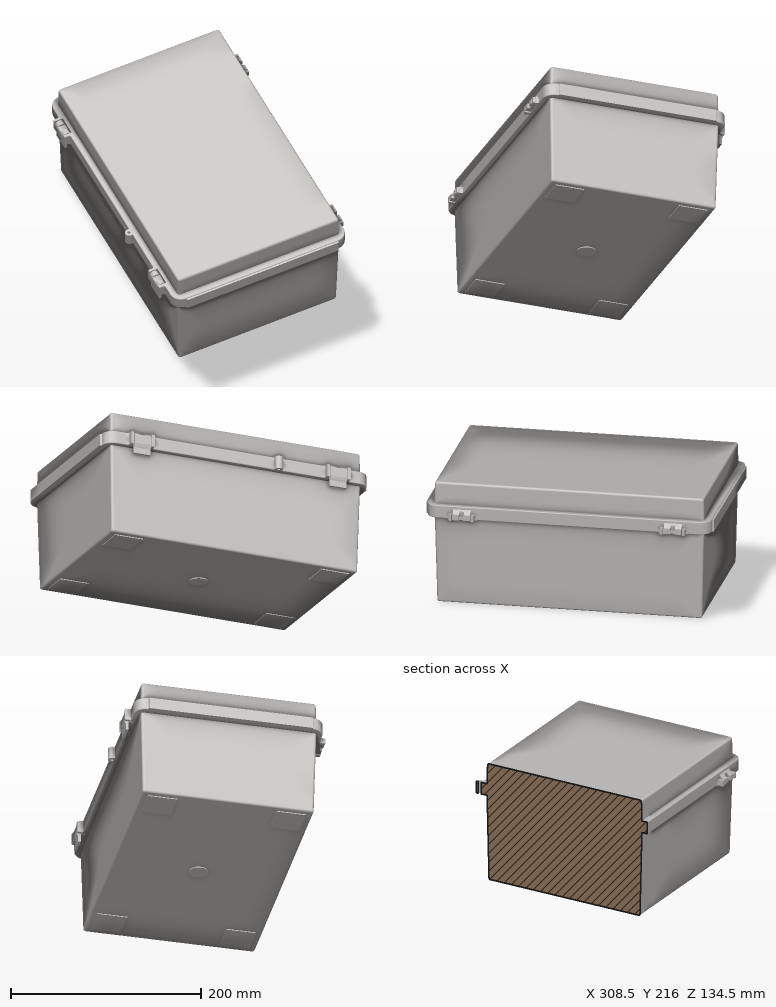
import cadquery as cq
import math

LENGTH = 308.5
WIDTH = 216.0
HEIGHT = 134.5

BODY_HALF_X = 144.5
BODY_HALF_Y = 94.7
LID_HALF_X = 144.7
LID_HALF_Y = 94.7
BODY_TAPER = 1.4
LID_TAPER = 1.5
WALL_CORNER_RADIUS = 2.8
LID_EDGE_RADIUS = 2.5
BODY_EDGE_RADIUS = 2.2

RIM_BOTTOM = 97.2
RIM_TOP = 111.0
PARTING_Z = 103.7
RIM_HALF_X = 152.0
RIM_HALF_Y = 101.5
RIM_CORNER_RADIUS = 12.3
RIM_EDGE_RADIUS = 1.0
RIM_HEIGHT = RIM_TOP - RIM_BOTTOM

EMBED = 3.0

STRIP_HALF_LENGTH = 88.2
STRIP_REACH = LENGTH / 2 - RIM_HALF_X
STRIP_FLARE = 2.0
STRIP_TOP = RIM_TOP - RIM_EDGE_RADIUS

FASTENER_X = 113.2
BOSS_HALF_WIDTH = 13.5
BOSS_REACH = WIDTH / 2 - RIM_HALF_Y
BOSS_FLARE = 2.2
RECESS_HALF_WIDTH = 10.5
FASTENER_HALF_WIDTH = 9.5

LATCH_FRONT_Y = -WIDTH / 2
LATCH_BACK_Y = -98.5
LATCH_CREST_Y = -103.5
LATCH_SHOULDER_Z = 106.0
LATCH_FACE_BOTTOM = 98.5
LATCH_STEP_Y = -107.0
LATCH_STEP_Z = 96.0
TAB_FRONT_Y = -106.0
TAB_TOP = 94.0
TAB_BOTTOM = 87.5
TAB_THICKNESS = 2.8
LATCH_NOTCH_HALF_WIDTH = 3.7
LATCH_NOTCH_FLOOR = 108.5

LEAF_RAMP_TOP = 108.0
LEAF_RAMP_END_Y = 105.8
HINGE_NOTCH_HALF_WIDTH = 2.5
HINGE_SLOT_DEPTH = 2.5
HINGE_NOTCH_DEPTH = 5.0
HINGE_LEDGE_Z = 100.5

LUG_X = 45.7
LUG_RADIUS = 4.3
LUG_HOLE_DIAMETER = 3.0

FOOT_HEIGHT = 1.0
FOOT_SIZE = 32.0
FOOT_X = 119.0
FOOT_Y = 69.5
CENTER_FOOT_RADIUS = 10.2


def block(x_center, half_width, y_range, z_range):
    """Box centred on x_center, spanning the given Y and Z ranges."""
    y_low, y_high = y_range
    z_low, z_high = z_range
    return cq.Workplane("XY").box(
        2 * half_width, y_high - y_low, z_high - z_low, centered=(True, False, False)
    ).translate((x_center, y_low, z_low))


def tapered_shell(half_x, half_y, z_start, height, taper):
    """Rectangular block with rounded corners that narrows away from the rim."""
    base = cq.Workplane("XY").workplane(offset=z_start).rect(2 * half_x, 2 * half_y)
    shell = base.extrude(height, taper=taper)
    return shell.edges("not #Z").fillet(WALL_CORNER_RADIUS)


def flared_tab(half_width, reach, flare, height):
    """Tab reaching out along +Y from the XZ plane, with concave arcs at its root."""
    bend = flare * (1 - math.sqrt(0.5))
    root = half_width + flare
    return (
        cq.Workplane("XY")
        .moveTo(-root, -EMBED)
        .lineTo(-root, 0)
        .threePointArc((-half_width - bend, bend), (-half_width, flare))
        .lineTo(-half_width, reach)
        .lineTo(half_width, reach)
        .lineTo(half_width, flare)
        .threePointArc((half_width + bend, bend), (root, 0))
        .lineTo(root, -EMBED)
        .close()
        .extrude(height)
    )


def make_body():
    height = RIM_BOTTOM - FOOT_HEIGHT
    body = tapered_shell(BODY_HALF_X, BODY_HALF_Y, RIM_BOTTOM, -height, BODY_TAPER)
    return body.faces("<Z").edges().fillet(BODY_EDGE_RADIUS)


def make_lid():
    lid = tapered_shell(LID_HALF_X, LID_HALF_Y, RIM_TOP, HEIGHT - RIM_TOP, LID_TAPER)
    return lid.faces(">Z").edges().fillet(LID_EDGE_RADIUS)


def make_rim():
    """Rim plate with its side strips and latch bosses."""
    rim = (
        cq.Workplane("XY")
        .rect(2 * RIM_HALF_X, 2 * RIM_HALF_Y)
        .extrude(RIM_HEIGHT)
        .edges("|Z")
        .fillet(RIM_CORNER_RADIUS)
    )
    strip = flared_tab(STRIP_HALF_LENGTH, STRIP_REACH, STRIP_FLARE, STRIP_TOP - RIM_BOTTOM)
    strip = strip.translate((0, RIM_HALF_X, RIM_BOTTOM))
    boss = flared_tab(BOSS_HALF_WIDTH, BOSS_REACH, BOSS_FLARE, RIM_HEIGHT)
    boss = boss.translate((0, RIM_HALF_Y, 0)).rotate((0, 0, 0), (0, 0, 1), 180)
    for side in (-1, 1):
        rim = rim.union(boss.translate((side * FASTENER_X, 0, 0)))
    rim = rim.faces("<Z or >Z").edges().fillet(RIM_EDGE_RADIUS)
    rim = rim.translate((0, 0, RIM_BOTTOM))
    for side in (-1, 1):
        rim = rim.union(strip.rotate((0, 0, 0), (0, 0, 1), side * 90))
    return rim


def make_latch():
    """Latch with a rounded, notched top and a thin pull tab."""
    tab_back_y = TAB_FRONT_Y + TAB_THICKNESS
    latch = (
        cq.Workplane("YZ")
        .moveTo(LATCH_BACK_Y, RIM_BOTTOM)
        .lineTo(LATCH_BACK_Y, LATCH_SHOULDER_Z)
        .threePointArc((LATCH_CREST_Y, RIM_TOP), (LATCH_FRONT_Y, LATCH_SHOULDER_Z))
        .lineTo(LATCH_FRONT_Y, LATCH_FACE_BOTTOM)
        .lineTo(LATCH_STEP_Y, LATCH_STEP_Z)
        .lineTo(TAB_FRONT_Y, TAB_TOP)
        .lineTo(TAB_FRONT_Y, TAB_BOTTOM)
        .lineTo(tab_back_y, TAB_BOTTOM)
        .lineTo(tab_back_y, RIM_BOTTOM)
        .close()
        .extrude(FASTENER_HALF_WIDTH, both=True)
    )
    notch = block(
        0, LATCH_NOTCH_HALF_WIDTH, (LATCH_FRONT_Y, LATCH_BACK_Y), (LATCH_NOTCH_FLOOR, RIM_TOP)
    )
    return latch.cut(notch)


def make_hinge():
    """Half-height boss with a recess, filled by a ramped leaf with a stepped centre notch."""
    outer_y = WIDTH / 2
    root_y = RIM_HALF_Y - EMBED
    leaf_bottom = RIM_BOTTOM + RIM_EDGE_RADIUS
    boss = flared_tab(BOSS_HALF_WIDTH, BOSS_REACH, BOSS_FLARE, PARTING_Z - RIM_BOTTOM)
    boss = boss.translate((0, RIM_HALF_Y, RIM_BOTTOM))
    recess = block(0, RECESS_HALF_WIDTH, (RIM_HALF_Y, outer_y), (RIM_BOTTOM, PARTING_Z))
    leaf = (
        cq.Workplane("YZ")
        .moveTo(root_y, leaf_bottom)
        .lineTo(outer_y, leaf_bottom)
        .lineTo(outer_y, PARTING_Z)
        .lineTo(LEAF_RAMP_END_Y, PARTING_Z)
        .lineTo(RIM_HALF_Y, LEAF_RAMP_TOP)
        .lineTo(root_y, LEAF_RAMP_TOP)
        .close()
        .extrude(FASTENER_HALF_WIDTH, both=True)
    )
    slot = block(
        0, HINGE_NOTCH_HALF_WIDTH, (outer_y - HINGE_SLOT_DEPTH, outer_y), (RIM_BOTTOM, RIM_TOP)
    )
    notch = block(
        0, HINGE_NOTCH_HALF_WIDTH, (outer_y - HINGE_NOTCH_DEPTH, outer_y), (HINGE_LEDGE_Z, RIM_TOP)
    )
    return boss.cut(recess).union(leaf).cut(slot).cut(notch)


def make_lug():
    """Round-ended padlock lug with a vertical hole."""
    center_y = -WIDTH / 2 + LUG_RADIUS
    lug = block(LUG_X, LUG_RADIUS, (center_y, -RIM_HALF_Y + EMBED), (RIM_BOTTOM, RIM_TOP))
    base = cq.Workplane("XY").workplane(offset=RIM_BOTTOM).center(LUG_X, center_y)
    hole = base.circle(LUG_HOLE_DIAMETER / 2).extrude(RIM_HEIGHT)
    return lug.union(base.circle(LUG_RADIUS).extrude(RIM_HEIGHT)), hole


def make_feet():
    """Square pad near each corner and a round one in the middle."""
    overlap = FOOT_HEIGHT + BODY_EDGE_RADIUS
    corners = [(x, y) for x in (-FOOT_X, FOOT_X) for y in (-FOOT_Y, FOOT_Y)]
    pads = cq.Workplane("XY").pushPoints(corners).rect(FOOT_SIZE, FOOT_SIZE).extrude(overlap)
    return pads.union(cq.Workplane("XY").circle(CENTER_FOOT_RADIUS).extrude(overlap))


result = make_body().union(make_rim()).union(make_lid()).union(make_feet())

lug, lug_hole = make_lug()
result = result.union(lug).cut(lug_hole)

latch = make_latch()
hinge = make_hinge()
for x in (-FASTENER_X, FASTENER_X):
    latch_recess = block(
        x, RECESS_HALF_WIDTH, (LATCH_FRONT_Y, LATCH_BACK_Y), (RIM_BOTTOM, RIM_TOP)
    )
    result = result.cut(latch_recess)
    result = result.union(latch.translate((x, 0, 0)))
    result = result.union(hinge.translate((x, 0, 0)))